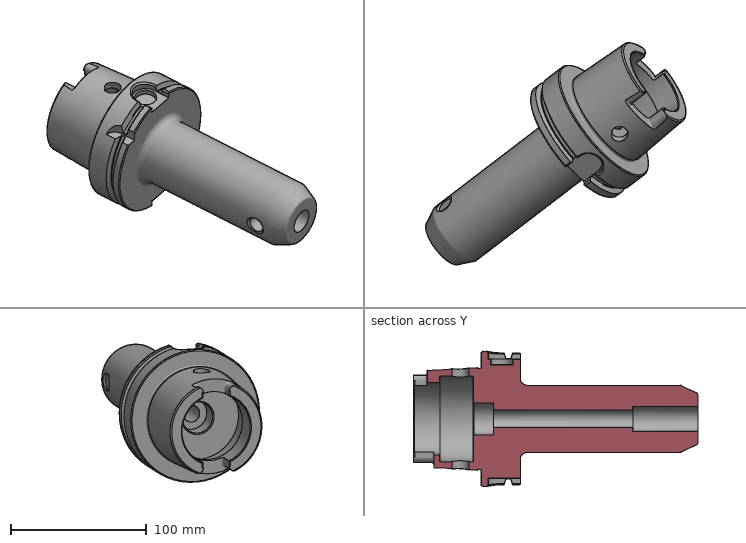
import cadquery as cq
import math


TAPER_LENGTH = 50.0
TAPER_GAUGE_RADIUS = 37.5
TAPER_GAUGE_DISTANCE = 12.5
TAPER_SLOPE = 1 / 20
TAPER_CHAMFER = 1.0
RELIEF_WIDTH = 2.9
RELIEF_DEPTH = 0.4
RELIEF_ROUNDING = 1.0

FLANGE_RADIUS = 50.0
FLANGE_WIDTH = 29.0
FLANGE_CHAMFER = 0.8
GROOVE_CENTRE_X = 20.0
GROOVE_MOUTH_WIDTH = 6.4
GROOVE_FLOOR_WIDTH = 3.4
GROOVE_FLOOR_RADIUS = 45.5
GROOVE_FLOOR_FILLET = 0.6

SHAFT_RADIUS = 25.0
SHAFT_END_X = 160.0
SHAFT_ROOT_FILLET = 5.0
NOSE_LENGTH = 13.3
NOSE_RADIUS = 19.0
NOSE_END_FILLET = 2.0
NOSE_SHOULDER_FILLET = 2.7

CLAMP_BORE_RADIUS = 26.5
CLAMP_BORE_CHAMFER = 0.7
CLAMP_BORE_DEPTH = 44.0
CLAMP_RECESS_START = 19.5
CLAMP_RECESS_RADIUS = 31.5
TUBE_BORE_RADIUS = 11.7
TUBE_BORE_CHAMFER = 0.8
TUBE_BORE_DEPTH = 15.0
THROUGH_BORE_RADIUS = 6.25
TOOL_BORE_RADIUS = 9.0
TOOL_BORE_DEPTH = 48.0

DRIVE_SLOT_WIDTH = 20.0
DRIVE_SLOT_DEPTH_TOP = 10.0
DRIVE_SLOT_DEPTH_BOTTOM = 15.0
DRIVE_SLOT_WALL_HEIGHT = 28.3
DRIVE_SLOT_LIP_RADIUS = 4.0
DRIVE_SLOT_FLOOR_FILLET = 1.3
DRIVE_SLOT_CHAMFER = 1.1

CROSS_HOLE_RADIUS = 6.2
CROSS_HOLE_X = -15.3

KEYWAY_WIDTH = 20.0
KEYWAY_CENTRE_X = 15.2
KEYWAY_FLOOR_Z = 44.0
KEYWAY_CHAMFER = 1.3
KEYWAY_HOLE_RADIUS = 8.1
KEYWAY_HOLE_DEPTH = 4.0

NOTCH_INSET = 31.4
NOTCH_END_RADIUS = 8.4
NOTCH_CENTRE_X = 17.0

SCREW_HOLE_X = 136.0
SCREW_HOLE_RADIUS = 6.0
SCREW_COUNTERSINK_RADIUS = 7.6


def taper_radius(x):
    return TAPER_GAUGE_RADIUS + (x + TAPER_GAUGE_DISTANCE) * TAPER_SLOPE


def revolve_about_axis(outline):
    return outline.close().revolve(360, (0, 0, 0), (1, 0, 0))


def make_shank():
    """Taper with a shallow relief that runs out in a small fillet on the flange face."""
    mouth_x = -TAPER_LENGTH
    relief_radius = taper_radius(-RELIEF_WIDTH) - RELIEF_DEPTH
    bulge = RELIEF_ROUNDING * (1 - math.sqrt(0.5))
    outline = (
        cq.Workplane("XY")
        .moveTo(mouth_x, 0)
        .lineTo(mouth_x, taper_radius(mouth_x) - TAPER_CHAMFER)
        .lineTo(mouth_x + TAPER_CHAMFER, taper_radius(mouth_x + TAPER_CHAMFER))
        .lineTo(-RELIEF_WIDTH, taper_radius(-RELIEF_WIDTH))
        .lineTo(-RELIEF_WIDTH + RELIEF_DEPTH, relief_radius)
        .lineTo(-RELIEF_ROUNDING, relief_radius)
        .threePointArc((-bulge, relief_radius + bulge), (0, relief_radius + RELIEF_ROUNDING))
        .lineTo(0, 0)
    )
    return revolve_about_axis(outline)


def make_shaft():
    """Cylinder with a filleted root on the flange and a tapered, rounded nose."""
    root_radius = SHAFT_RADIUS + SHAFT_ROOT_FILLET
    root_end_x = FLANGE_WIDTH + SHAFT_ROOT_FILLET
    bulge = SHAFT_ROOT_FILLET * (1 - math.sqrt(0.5))
    shoulder_x = SHAFT_END_X - NOSE_LENGTH
    outline = (
        cq.Workplane("XY")
        .moveTo(FLANGE_WIDTH, 0)
        .lineTo(FLANGE_WIDTH, root_radius)
        .threePointArc((FLANGE_WIDTH + bulge, SHAFT_RADIUS + bulge), (root_end_x, SHAFT_RADIUS))
        .lineTo(shoulder_x, SHAFT_RADIUS)
        .lineTo(SHAFT_END_X, NOSE_RADIUS)
        .lineTo(SHAFT_END_X, 0)
    )
    shaft = revolve_about_axis(outline)
    shaft = shaft.faces(">X").edges().fillet(NOSE_END_FILLET)
    around_shoulder = cq.selectors.BoxSelector(
        (shoulder_x - 1, -SHAFT_RADIUS, -SHAFT_RADIUS), (shoulder_x + 1, SHAFT_RADIUS, SHAFT_RADIUS)
    )
    return shaft.edges("%CIRCLE").edges(around_shoulder).fillet(NOSE_SHOULDER_FILLET)


def make_gripper_groove():
    """Ring cutter for the V groove around the flange, with a rounded floor."""
    half_mouth = GROOVE_MOUTH_WIDTH / 2
    half_floor = GROOVE_FLOOR_WIDTH / 2
    outline = (
        cq.Workplane("XY")
        .moveTo(GROOVE_CENTRE_X - half_mouth, FLANGE_RADIUS)
        .lineTo(GROOVE_CENTRE_X - half_floor, GROOVE_FLOOR_RADIUS)
        .lineTo(GROOVE_CENTRE_X + half_floor, GROOVE_FLOOR_RADIUS)
        .lineTo(GROOVE_CENTRE_X + half_mouth, FLANGE_RADIUS)
    )
    groove = revolve_about_axis(outline)
    return groove.edges(cq.selectors.RadiusNthSelector(0)).fillet(GROOVE_FLOOR_FILLET)


def cut_keyway(flange):
    """Cut a round-ended keyway into the +Z side, open toward the shaft, and chamfer its rim."""
    half_width = KEYWAY_WIDTH / 2
    keyway = (
        cq.Workplane("XY", origin=(0, 0, KEYWAY_FLOOR_Z))
        .moveTo(FLANGE_WIDTH, -half_width)
        .lineTo(KEYWAY_CENTRE_X, -half_width)
        .threePointArc((KEYWAY_CENTRE_X - half_width, 0), (KEYWAY_CENTRE_X, half_width))
        .lineTo(FLANGE_WIDTH, half_width)
        .close()
        .extrude(FLANGE_RADIUS - KEYWAY_FLOOR_Z)
    )
    wall_top_z = math.sqrt(FLANGE_RADIUS**2 - half_width**2)
    around_rim = cq.selectors.BoxSelector(
        (0, -half_width - 1, wall_top_z - 1), (FLANGE_WIDTH - 1, half_width + 1, FLANGE_RADIUS + 1)
    )
    return flange.cut(keyway).edges(around_rim).chamfer(KEYWAY_CHAMFER)


def make_keyway_hole():
    return (
        cq.Workplane("XY", origin=(KEYWAY_CENTRE_X, 0, KEYWAY_FLOOR_Z - KEYWAY_HOLE_DEPTH))
        .circle(KEYWAY_HOLE_RADIUS)
        .extrude(KEYWAY_HOLE_DEPTH)
    )


def make_notch():
    """Orientation notch with a flat floor, a flat wall and a round end."""
    base = cq.Workplane("XY", origin=(0, 0, NOTCH_INSET))
    centre_y = -NOTCH_INSET - NOTCH_END_RADIUS
    length = FLANGE_WIDTH - NOTCH_CENTRE_X
    height = FLANGE_RADIUS - NOTCH_INSET
    round_end = base.center(NOTCH_CENTRE_X, centre_y).circle(NOTCH_END_RADIUS).extrude(height)
    straight_base = base.center(NOTCH_CENTRE_X + length / 2, centre_y)
    straight = straight_base.rect(length, 2 * NOTCH_END_RADIUS).extrude(height)
    return round_end.union(straight)


def make_flange():
    """Flange with two chamfered keyways, the orientation notch and the gripper groove."""
    flange = cq.Workplane("YZ").circle(FLANGE_RADIUS).extrude(FLANGE_WIDTH)
    flange = cut_keyway(flange)
    flange = cut_keyway(flange.mirror("XY")).mirror("XY")
    flange = flange.intersect(
        cq.Workplane("YZ").circle(FLANGE_RADIUS).extrude(FLANGE_WIDTH).edges().chamfer(FLANGE_CHAMFER)
    )
    return flange.cut(make_keyway_hole()).cut(make_notch()).cut(make_gripper_groove())


def make_axial_bores():
    """Clamping bore with its undercut, coolant tube bore, through bore and tool bore."""
    mouth_x = -TAPER_LENGTH
    recess_x = mouth_x + CLAMP_RECESS_START
    clamp_floor_x = mouth_x + CLAMP_BORE_DEPTH
    tool_floor_x = SHAFT_END_X - TOOL_BORE_DEPTH
    tube_floor_x = clamp_floor_x + TUBE_BORE_DEPTH
    outline = (
        cq.Workplane("XY")
        .moveTo(mouth_x, 0)
        .lineTo(mouth_x, CLAMP_BORE_RADIUS + CLAMP_BORE_CHAMFER)
        .lineTo(mouth_x + CLAMP_BORE_CHAMFER, CLAMP_BORE_RADIUS)
        .lineTo(recess_x, CLAMP_BORE_RADIUS)
        .lineTo(recess_x, CLAMP_RECESS_RADIUS)
        .lineTo(clamp_floor_x, CLAMP_RECESS_RADIUS)
        .lineTo(clamp_floor_x, TUBE_BORE_RADIUS + TUBE_BORE_CHAMFER)
        .lineTo(clamp_floor_x + TUBE_BORE_CHAMFER, TUBE_BORE_RADIUS)
        .lineTo(tube_floor_x, TUBE_BORE_RADIUS)
        .lineTo(tube_floor_x, THROUGH_BORE_RADIUS)
        .lineTo(tool_floor_x, THROUGH_BORE_RADIUS)
        .lineTo(tool_floor_x, TOOL_BORE_RADIUS)
        .lineTo(SHAFT_END_X, TOOL_BORE_RADIUS)
        .lineTo(SHAFT_END_X, 0)
    )
    return revolve_about_axis(outline)


def make_drive_slot(depth):
    """Slot across the +Z wall of the shank mouth, with rounded lips and a chamfered mouth."""
    half_width = DRIVE_SLOT_WIDTH / 2
    lip = DRIVE_SLOT_LIP_RADIUS
    lip_bulge = lip * (1 - math.sqrt(0.5))
    lip_top = DRIVE_SLOT_WALL_HEIGHT + lip
    arc_middle_z = lip_top - lip_bulge
    outer = FLANGE_RADIUS
    slot = (
        cq.Workplane("YZ", origin=(-TAPER_LENGTH, 0, 0))
        .moveTo(-half_width, 0)
        .lineTo(-half_width, DRIVE_SLOT_WALL_HEIGHT)
        .threePointArc((-half_width - lip_bulge, arc_middle_z), (-half_width - lip, lip_top))
        .lineTo(-outer, lip_top)
        .lineTo(-outer, outer)
        .lineTo(outer, outer)
        .lineTo(outer, lip_top)
        .lineTo(half_width + lip, lip_top)
        .threePointArc((half_width + lip_bulge, arc_middle_z), (half_width, DRIVE_SLOT_WALL_HEIGHT))
        .lineTo(half_width, 0)
        .close()
        .extrude(depth)
        .faces(">X")
        .edges()
        .fillet(DRIVE_SLOT_FLOOR_FILLET)
    )
    mouth_chamfer = (
        cq.Workplane("XY")
        .moveTo(-TAPER_LENGTH, -half_width - DRIVE_SLOT_CHAMFER)
        .lineTo(-TAPER_LENGTH + DRIVE_SLOT_CHAMFER, -half_width)
        .lineTo(-TAPER_LENGTH + DRIVE_SLOT_CHAMFER, half_width)
        .lineTo(-TAPER_LENGTH, half_width + DRIVE_SLOT_CHAMFER)
        .close()
        .extrude(DRIVE_SLOT_WALL_HEIGHT)
    )
    return slot.union(mouth_chamfer)


def make_cross_hole():
    hole = cq.Workplane("XY", origin=(CROSS_HOLE_X, 0, 0)).circle(CROSS_HOLE_RADIUS)
    return hole.extrude(FLANGE_RADIUS, both=True)


def make_countersink():
    """Conical recess in the -Y side of the shaft, ending at the screw hole radius."""
    sink_depth = SCREW_COUNTERSINK_RADIUS - SCREW_HOLE_RADIUS
    mouth = cq.Workplane("XZ", origin=(SCREW_HOLE_X, -SHAFT_RADIUS, 0)).circle(SCREW_COUNTERSINK_RADIUS)
    return mouth.extrude(-sink_depth, taper=45)


def make_screw_hole():
    """Radial hole from the -Y side of the shaft into the tool bore."""
    return cq.Workplane("XZ", origin=(SCREW_HOLE_X, 0, 0)).circle(SCREW_HOLE_RADIUS).extrude(SHAFT_RADIUS)


countersink = make_countersink()
result = make_shank().union(make_flange()).union(make_shaft())
result = result.cut(make_axial_bores())
result = result.cut(make_drive_slot(DRIVE_SLOT_DEPTH_TOP))
result = result.cut(make_drive_slot(DRIVE_SLOT_DEPTH_BOTTOM).mirror("XY"))
result = result.cut(make_cross_hole())
result = result.cut(make_screw_hole())
result = result.cut(countersink).cut(countersink.mirror("XZ"))